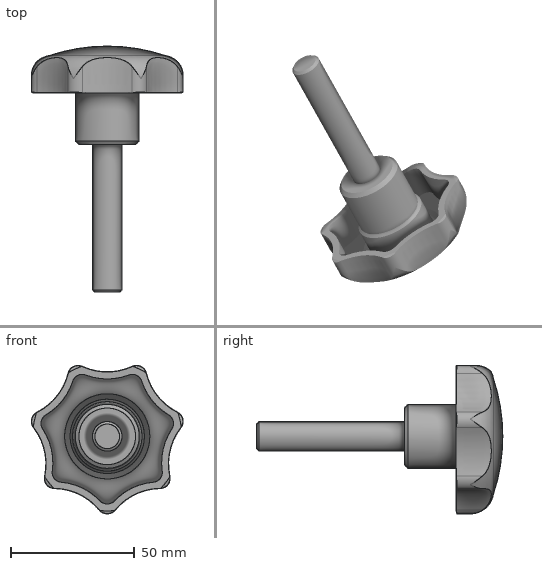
import cadquery as cq
import math

lobe_count = 7
half_pitch = math.pi / lobe_count

head_height = 19.0
head_radius = 31.5
shoulder_radius = 9.5
shoulder_height = 5.8
dome_edge_radius = 23.5
rim_bevel_width = 1.2
rim_bevel_height = 0.4

outer_valley_radius = 26.2
outer_tip_rounding = 4.2
wall = 2.9
cavity_tip_radius = 27.5
cavity_tip_rounding = 4.0
cavity_depth = 12.7

hub_radius = 13.0
hub_length = 21.0
hub_bevel = 1.5
collar_radius = 14.1
root_rounding = 1.0
collar_root_radius = collar_radius + root_rounding
recess_radius = 17.3
recess_depth = 0.8
stud_radius = 6.0
stud_length = 60.0
stud_bevel = 1.0


def polar(radius, angle):
    return (radius * math.cos(angle), radius * math.sin(angle))


def lobed_prism(valley_radius, tip_radius, tip_rounding, height):
    """Star prism from y = 0 upward: concave scallops tangent to rounded lobe tips."""
    tip_center = tip_radius - tip_rounding
    across = tip_center * math.cos(half_pitch)
    scallop_radius = (
        tip_center**2 - 2 * across * valley_radius + valley_radius**2 - tip_rounding**2
    ) / (2 * (tip_rounding + across - valley_radius))
    scallop_center = valley_radius + scallop_radius
    share = scallop_radius / (scallop_radius + tip_rounding)
    joint_along = scallop_center + share * (across - scallop_center)
    joint_aside = share * tip_center * math.sin(half_pitch)
    joint_radius = math.hypot(joint_along, joint_aside)
    joint_angle = math.atan2(joint_aside, joint_along)

    first_valley = math.pi / 2
    outline = cq.Workplane("XZ").moveTo(*polar(joint_radius, first_valley - joint_angle))
    for index in range(lobe_count):
        valley = first_valley + 2 * index * half_pitch
        tip = valley + half_pitch
        next_valley = tip + half_pitch
        outline = outline.threePointArc(
            polar(valley_radius, valley), polar(joint_radius, valley + joint_angle)
        )
        outline = outline.threePointArc(
            polar(tip_radius, tip), polar(joint_radius, next_valley - joint_angle)
        )
    return outline.close().extrude(-height)


def revolved_head():
    """Domed blank with a rounded shoulder and a bevelled rim."""
    shoulder_center = head_radius - shoulder_radius
    dome_edge_angle = math.acos((dome_edge_radius - shoulder_center) / shoulder_radius)
    dome_edge_height = shoulder_height + shoulder_radius * math.sin(dome_edge_angle)
    dome_drop = head_height - dome_edge_height
    dome_radius = (dome_edge_radius**2 + dome_drop**2) / (2 * dome_drop)
    dome_mid = dome_edge_radius / 2
    dome_mid_height = head_height - dome_radius + math.sqrt(dome_radius**2 - dome_mid**2)
    mid_aside, mid_up = polar(shoulder_radius, dome_edge_angle / 2)
    return (
        cq.Workplane("XY")
        .lineTo(head_radius - rim_bevel_width, 0)
        .lineTo(head_radius, rim_bevel_height)
        .lineTo(head_radius, shoulder_height)
        .threePointArc(
            (shoulder_center + mid_aside, shoulder_height + mid_up),
            (dome_edge_radius, dome_edge_height),
        )
        .threePointArc((dome_mid, dome_mid_height), (0, head_height))
        .close()
        .revolve(360, (0, 0, 0), (0, 1, 0))
    )


def floor_recess():
    """Conical recess in the cavity floor, narrowing to the collar root."""
    return (
        cq.Workplane("XY")
        .moveTo(0, cavity_depth)
        .lineTo(recess_radius, cavity_depth)
        .lineTo(collar_root_radius, cavity_depth + recess_depth)
        .lineTo(0, cavity_depth + recess_depth)
        .close()
        .revolve(360, (0, 0, 0), (0, 1, 0))
    )


def hub_and_stud():
    """Stud, hub and collar with a rounded root in one revolved profile."""
    stud_end = -hub_length - stud_length
    collar_tip = collar_radius - hub_radius
    collar_root = cavity_depth + recess_depth
    return (
        cq.Workplane("XY")
        .moveTo(0, stud_end)
        .lineTo(stud_radius - stud_bevel, stud_end)
        .lineTo(stud_radius, stud_end + stud_bevel)
        .lineTo(stud_radius, -hub_length)
        .lineTo(hub_radius - hub_bevel, -hub_length)
        .lineTo(hub_radius, -hub_length + hub_bevel)
        .lineTo(hub_radius, 0)
        .lineTo(collar_radius, collar_tip)
        .lineTo(collar_radius, collar_root - root_rounding)
        .radiusArc((collar_root_radius, collar_root), root_rounding)
        .lineTo(0, collar_root)
        .close()
        .revolve(360, (0, 0, 0), (0, 1, 0))
    )


star = lobed_prism(outer_valley_radius, head_radius, outer_tip_rounding, head_height)
cavity = lobed_prism(outer_valley_radius - wall, cavity_tip_radius, cavity_tip_rounding, cavity_depth)
result = revolved_head().intersect(star).cut(cavity).cut(floor_recess()).union(hub_and_stud())